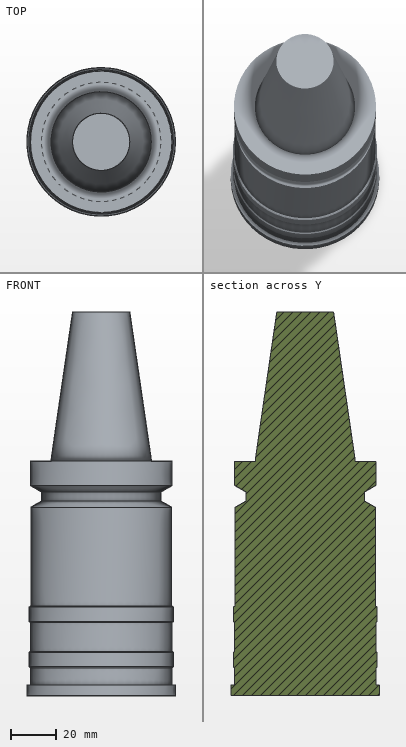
import cadquery as cq
import math

total_height = 170.4
gauge_height = 105.0
flange_top = 104.1
flange_bottom = 93.4
body_top = 83.7
upper_ring_bottom = 32.5
lower_ring_bottom = 12.5
base_collar_height = 5.0
ring_height = 7.3

taper_tip_diameter = 25.4
gauge_diameter = 44.5
flange_diameter = 63.0
groove_diameter = 53.0
body_diameter = 62.5
sleeve_diameter = 63.0
ring_diameter = 64.0
base_collar_diameter = 66.0

groove_wall_angle = 30.0


def cylinder(diameter, bottom, top):
    return cq.Workplane("XY").workplane(offset=bottom).circle(diameter / 2).extrude(top - bottom)


def cone(bottom_diameter, top_diameter, bottom, top):
    return (
        cq.Workplane("XY")
        .workplane(offset=bottom)
        .circle(bottom_diameter / 2)
        .workplane(offset=top - bottom)
        .circle(top_diameter / 2)
        .loft(ruled=True)
    )


def groove_wall_rise(outer_diameter):
    """Height of the sloping wall from the groove floor to an outer diameter."""
    return (outer_diameter - groove_diameter) / 2 * math.tan(math.radians(groove_wall_angle))


def ring(bottom):
    """Raised band whose bevelled edges run down to the sleeve surface."""
    bevel = (ring_diameter - sleeve_diameter) / 2
    return cylinder(ring_diameter, bottom, bottom + ring_height).edges().chamfer(bevel)


shank = cone(gauge_diameter, taper_tip_diameter, gauge_height, total_height)
shank = shank.union(cylinder(gauge_diameter, flange_top, gauge_height))

groove_floor_top = flange_bottom - groove_wall_rise(flange_diameter)
groove_floor_bottom = body_top + groove_wall_rise(body_diameter)
flange = cylinder(flange_diameter, flange_bottom, flange_top)
flange = flange.union(cone(groove_diameter, flange_diameter, groove_floor_top, flange_bottom))
groove_floor = cylinder(groove_diameter, groove_floor_bottom, groove_floor_top)
groove_lower_wall = cone(body_diameter, groove_diameter, body_top, groove_floor_bottom)

body = cylinder(body_diameter, 0, body_top)
body = body.union(cylinder(sleeve_diameter, 0, upper_ring_bottom + ring_height / 2))
for ring_bottom in (lower_ring_bottom, upper_ring_bottom):
    body = body.union(ring(ring_bottom))
body = body.union(cylinder(base_collar_diameter, 0, base_collar_height))

result = body.union(groove_lower_wall).union(groove_floor).union(flange).union(shank)